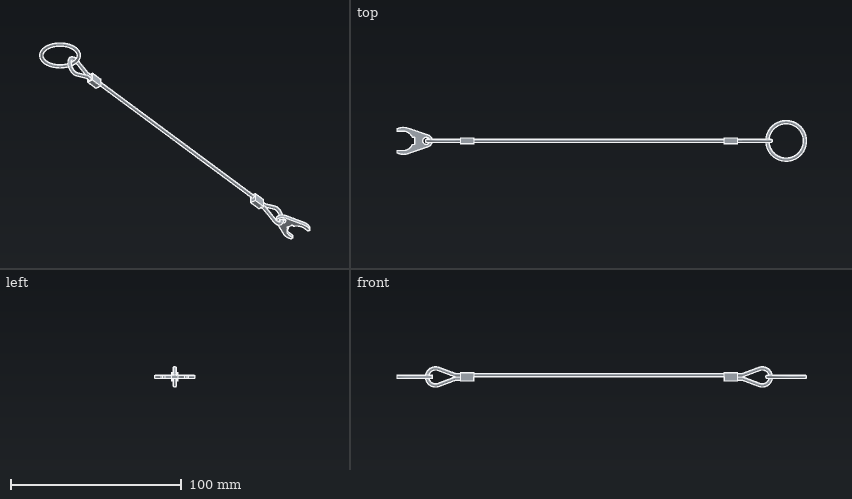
import cadquery as cq
import math


overall_length = 240.19

ring_outer_diameter = 24.0
ring_wire_diameter = 2.0

cable_diameter = 2.0
eye_height = 12.0
neck_bend_radius = 2.5
eye_neck_length = 12.0
strand_gap = 0.02
sleeve_offset = 20.5
sleeve_length = 7.9
sleeve_width = 3.6
sleeve_height = 5.0
clip_eye_end = 16.7

clip_thickness = 2.0
clip_length = 20.8
fork_center_x = 3.8
fork_outer_radius = 8.0
fork_inner_radius = 5.6
notch_width = 4.0
notch_bottom_x = 10.4
nose_radius = 3.7
eyelet_center_x = 17.2
eyelet_diameter = 4.0

cable_radius = cable_diameter / 2
eye_bend_radius = eye_height / 2 - cable_radius
strand_z = cable_radius + strand_gap / 2
ring_wire_radius = ring_wire_diameter / 2
ring_path_radius = ring_outer_diameter / 2 - ring_wire_radius
ring_center_x = overall_length - ring_outer_diameter / 2
ring_eye_end = ring_center_x - ring_path_radius + ring_wire_radius + cable_diameter
cable_center_x = (clip_eye_end + ring_eye_end) / 2


def fork_clip():
    """Flat clip: a round fork with a notch at its root, tapering to a nose with an eyelet."""
    nose_center_x = clip_length - nose_radius
    taper = math.asin((fork_outer_radius - nose_radius) / (nose_center_x - fork_center_x))

    def flank_point(center_x, radius):
        return center_x + radius * math.sin(taper), radius * math.cos(taper)

    fork_x, fork_y = flank_point(fork_center_x, fork_outer_radius)
    nose_x, nose_y = flank_point(nose_center_x, nose_radius)
    tip_y = math.sqrt(fork_outer_radius**2 - fork_center_x**2)

    plate = (
        cq.Workplane("XY")
        .workplane(offset=-clip_thickness / 2)
        .moveTo(0, tip_y)
        .threePointArc((fork_center_x, fork_outer_radius), (fork_x, fork_y))
        .lineTo(nose_x, nose_y)
        .threePointArc((clip_length, 0), (nose_x, -nose_y))
        .lineTo(fork_x, -fork_y)
        .threePointArc((fork_center_x, -fork_outer_radius), (0, -tip_y))
        .close()
        .extrude(clip_thickness)
    )
    mouth = cq.Workplane("XY").center(fork_center_x / 2, 0).box(
        fork_center_x, 2 * fork_inner_radius, clip_thickness
    )
    root = cq.Workplane("XY").center(fork_center_x, 0).cylinder(clip_thickness, fork_inner_radius)
    notch = cq.Workplane("XY").center(notch_bottom_x / 2, 0).box(
        notch_bottom_x, notch_width, clip_thickness
    )
    eyelet = cq.Workplane("XY").center(eyelet_center_x, 0).cylinder(clip_thickness, eyelet_diameter / 2)
    return plate.cut(mouth).cut(root).cut(notch).cut(eyelet)


def cable_eye():
    """Left eye with its crimp sleeve: a teardrop of cable in the XZ plane, from sleeve to sleeve."""
    bend_x = clip_eye_end + cable_radius + eye_bend_radius
    neck_x = bend_x + eye_neck_length
    sleeve_x = clip_eye_end + sleeve_offset

    neck_center_height = strand_z + neck_bend_radius
    radius_sum = eye_bend_radius + neck_bend_radius
    side_angle = math.asin(radius_sum / math.hypot(eye_neck_length, neck_center_height)) - math.atan2(
        neck_center_height, eye_neck_length
    )

    def neck_arc_point(angle):
        return (
            neck_x - neck_bend_radius * math.sin(angle),
            neck_center_height - neck_bend_radius * math.cos(angle),
        )

    side_x = bend_x + eye_bend_radius * math.sin(side_angle)
    side_z = eye_bend_radius * math.cos(side_angle)
    arc_x, arc_z = neck_arc_point(side_angle)
    arc_mid_x, arc_mid_z = neck_arc_point(side_angle / 2)

    path = (
        cq.Workplane("XZ")
        .moveTo(sleeve_x, strand_z)
        .lineTo(neck_x, strand_z)
        .threePointArc((arc_mid_x, arc_mid_z), (arc_x, arc_z))
        .lineTo(side_x, side_z)
        .threePointArc((bend_x - eye_bend_radius, 0), (side_x, -side_z))
        .lineTo(arc_x, -arc_z)
        .threePointArc((arc_mid_x, -arc_mid_z), (neck_x, -strand_z))
        .lineTo(sleeve_x, -strand_z)
    )
    loop = (
        cq.Workplane("YZ", origin=(sleeve_x, 0, strand_z))
        .circle(cable_radius)
        .sweep(path)
    )
    sleeve = cq.Workplane("XY").center(sleeve_x + sleeve_length / 2, 0).box(
        sleeve_length, sleeve_width, sleeve_height
    )
    return sleeve.union(loop)


def cable():
    """Straight cable on the upper strand line, joined to an eye and a sleeve at both ends."""
    left_eye = cable_eye()
    right_eye = left_eye.mirror("YZ", (cable_center_x, 0, 0))
    start_x = clip_eye_end + sleeve_offset + sleeve_length
    straight_length = 2 * (cable_center_x - start_x)
    straight = (
        cq.Workplane("YZ", origin=(start_x, 0, strand_z))
        .circle(cable_radius)
        .extrude(straight_length)
    )
    return straight.union(left_eye).union(right_eye)


def key_ring():
    """Plain closed ring of round wire."""
    ring = cq.Solid.makeTorus(ring_path_radius, ring_wire_radius)
    return cq.Workplane(ring).translate((ring_center_x, 0, 0))


clip_body = fork_clip()
cable_body = cable()
ring_body = key_ring()

result = cq.Compound.makeCompound([clip_body.val(), cable_body.val(), ring_body.val()])